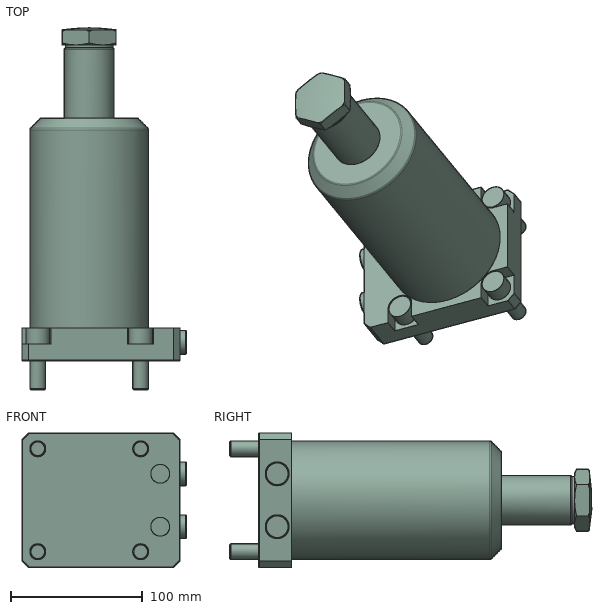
import cadquery as cq
import math


PLATE_HEIGHT = 102.0
PLATE_LENGTH = 120.0
PLATE_THICKNESS = 25.0
PLATE_LEFT = -PLATE_HEIGHT / 2
PLATE_RIGHT = PLATE_LEFT + PLATE_LENGTH
PLATE_CORNER = 5.2
PLATE_EDGE = 0.5

BARREL_RADIUS = 45.0
BARREL_END = 184.0
BARREL_CHAMFER = 8.2
BARREL_ROUND = 2.2
BARREL_END_ROUND = 1.5
ROD_RADIUS = 19.0
ROD_END = 237.2
ROD_CHAMFER = 0.8
NECK_RADIUS = ROD_RADIUS - ROD_CHAMFER
HEX_START = 239.0
HEX_END = 252.5
HEX_CROWN_RADIUS = 120.0
HEX_FLATS = 41.0
HEX_CORNERS = HEX_FLATS / math.cos(math.pi / 6)
HEX_FACE_RADIUS = 20.0
HEX_BEVEL = 1.6
HEX_CROWN_BEVEL = 3.0

SCREW_OFFSET = 39.0
SCREW_RADIUS = 6.0
SCREW_TIP = -22.0
SCREW_CHAMFER = 0.8
HEAD_RADIUS = 9.0
HEAD_HEIGHT = 12.0
HEAD_SEAT = PLATE_THICKNESS - HEAD_HEIGHT
POCKET_RADIUS = 10.0

PORT_OFFSET = 20.0
PORT_CENTER_Y = 14.0
PORT_RADIUS = 9.0
PORT_HEIGHT = 5.0
PORT_CHAMFER = 0.8
RECESS_X = 53.8
RECESS_RADIUS = 7.0
RECESS_DEPTH = 0.3

SCREW_POSITIONS = [(x, z) for x in (-SCREW_OFFSET, SCREW_OFFSET) for z in (-SCREW_OFFSET, SCREW_OFFSET)]


def cylinder_y(radius, start, end, x=0.0, z=0.0):
    """Cylinder along +Y between two Y positions."""
    axis_start = cq.Vector(x, start, z)
    return cq.Workplane(cq.Solid.makeCylinder(radius, end - start, axis_start, cq.Vector(0, 1, 0)))


def make_plate():
    """Rectangular plate with bevelled corners and broken front edges."""
    return (
        cq.Workplane("XY")
        .box(PLATE_LENGTH, PLATE_THICKNESS, PLATE_HEIGHT)
        .translate(((PLATE_LEFT + PLATE_RIGHT) / 2, PLATE_THICKNESS / 2, 0))
        .edges("|Y")
        .chamfer(PLATE_CORNER)
        .faces("<Y")
        .chamfer(PLATE_EDGE)
    )


def pocket_box(x_start, x_end, z_start, z_end):
    """Box as deep as a screw head, between two X and two Z positions."""
    center = ((x_start + x_end) / 2, HEAD_SEAT + HEAD_HEIGHT / 2, (z_start + z_end) / 2)
    return cq.Workplane("XY").box(x_end - x_start, HEAD_HEIGHT, abs(z_end - z_start)).translate(center)


def make_head_pocket(x, z):
    """Round seat for a screw head, open to the nearer Z side; the left seats are open to -X too."""
    side = math.copysign(1, z)
    outer_z = side * PLATE_HEIGHT / 2
    inner_z = z - side * POCKET_RADIUS
    pocket = cylinder_y(POCKET_RADIUS, HEAD_SEAT, PLATE_THICKNESS, x, z)
    if x > 0:
        return pocket.union(pocket_box(x - POCKET_RADIUS, x + POCKET_RADIUS, z, outer_z))
    pocket = pocket.union(pocket_box(PLATE_LEFT, x + POCKET_RADIUS, z, outer_z))
    return pocket.union(pocket_box(PLATE_LEFT, x, inner_z, outer_z))


def make_barrel():
    """Barrel with a conical shoulder, rounded where it meets the side and the end face."""
    shoulder_y = BARREL_END - BARREL_CHAMFER
    shoulder_edge = cq.selectors.NearestToPointSelector((0, shoulder_y, 0))
    return (
        cylinder_y(BARREL_RADIUS, PLATE_THICKNESS, BARREL_END)
        .faces(">Y")
        .chamfer(BARREL_CHAMFER)
        .edges(shoulder_edge)
        .fillet(BARREL_ROUND)
        .faces(">Y")
        .edges()
        .fillet(BARREL_END_ROUND)
    )


def make_rod():
    """Rod with a chamfered end and a slightly thinner neck up to the hexagonal head."""
    rod = cylinder_y(ROD_RADIUS, BARREL_END, ROD_END).faces(">Y").chamfer(ROD_CHAMFER)
    return rod.union(cylinder_y(NECK_RADIUS, ROD_END, HEX_START))


def make_hex_head():
    """Hexagonal head with corners up and down, bevelled on both faces and crowned at its end."""
    hexagon = (
        cq.Workplane("XZ", origin=(0, HEX_END, 0))
        .polygon(6, HEX_CORNERS)
        .extrude(HEX_END - HEX_START)
        .rotate((0, 0, 0), (0, 1, 0), 90)
    )
    envelope_radius = HEX_CORNERS / 2
    envelope = (
        cylinder_y(envelope_radius, HEX_START, HEX_END)
        .faces("<Y")
        .chamfer(HEX_BEVEL, envelope_radius - HEX_FACE_RADIUS)
        .faces(">Y")
        .chamfer(HEX_CROWN_BEVEL, envelope_radius - HEX_FACE_RADIUS)
    )
    crown = cq.Workplane("XY").sphere(HEX_CROWN_RADIUS).translate((0, HEX_END - HEX_CROWN_RADIUS, 0))
    return hexagon.intersect(envelope).intersect(crown)


def make_port(z):
    """Round port boss on the +X side."""
    return (
        cq.Workplane("YZ", origin=(PLATE_RIGHT, PORT_CENTER_Y, z))
        .circle(PORT_RADIUS)
        .extrude(PORT_HEIGHT)
        .faces(">X")
        .chamfer(PORT_CHAMFER)
    )


def make_housing():
    """Plate, barrel, rod, hexagonal head and ports as one body, with holes for the screws."""
    housing = make_plate()
    for x, z in SCREW_POSITIONS:
        housing = housing.cut(make_head_pocket(x, z))
        housing = housing.cut(cylinder_y(SCREW_RADIUS, 0, HEAD_SEAT, x, z))
    housing = housing.union(make_barrel()).union(make_rod()).union(make_hex_head())
    for z in (-PORT_OFFSET, PORT_OFFSET):
        housing = housing.union(make_port(z))
        housing = housing.cut(cylinder_y(RECESS_RADIUS, 0, RECESS_DEPTH, RECESS_X, z))
    return housing


def make_screw(x, z):
    """Screw with a plain round head, its shank reaching out past the mounting face."""
    shank = cylinder_y(SCREW_RADIUS, SCREW_TIP, HEAD_SEAT, x, z).faces("<Y").chamfer(SCREW_CHAMFER)
    return shank.union(cylinder_y(HEAD_RADIUS, HEAD_SEAT, PLATE_THICKNESS, x, z))


housing = make_housing()
screws = [make_screw(x, z) for x, z in SCREW_POSITIONS]

result = cq.Compound.makeCompound([housing.val(), *[screw.val() for screw in screws]])